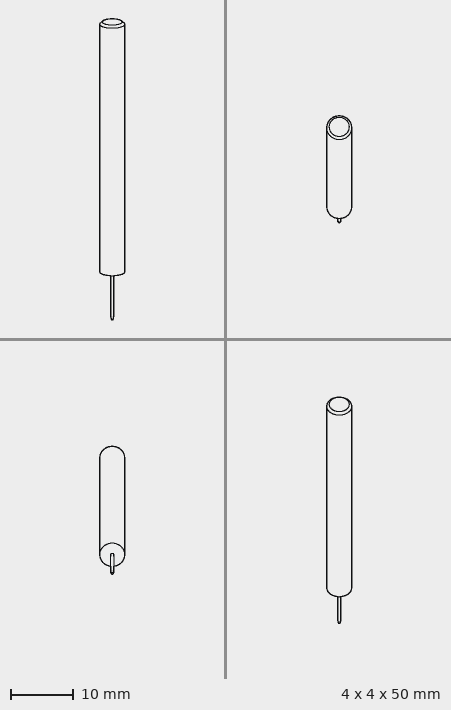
import cadquery as cq

total_length = 50.0
body_diameter = 4.0
pin_length = 8.0
pin_diameter = 0.5
top_chamfer = 0.4
pin_taper_length = 0.5
pin_taper_depth = 0.1

body_length = total_length - pin_length


def make_body():
    """Round rod standing on the XY plane, chamfered at its top edge."""
    rod = cq.Workplane("XY").circle(body_diameter / 2).extrude(body_length)
    return rod.faces(">Z").edges().chamfer(top_chamfer)


def make_pin():
    """Thin pin hanging below the body, slightly tapered at its free end."""
    pin = cq.Workplane("XY").circle(pin_diameter / 2).extrude(-(pin_length - pin_taper_length))
    taper = (
        cq.Workplane("XY", origin=(0, 0, -pin_length))
        .circle(pin_diameter / 2 - pin_taper_depth)
        .workplane(offset=pin_taper_length)
        .circle(pin_diameter / 2)
        .loft()
    )
    return pin.union(taper)


result = make_body().union(make_pin())